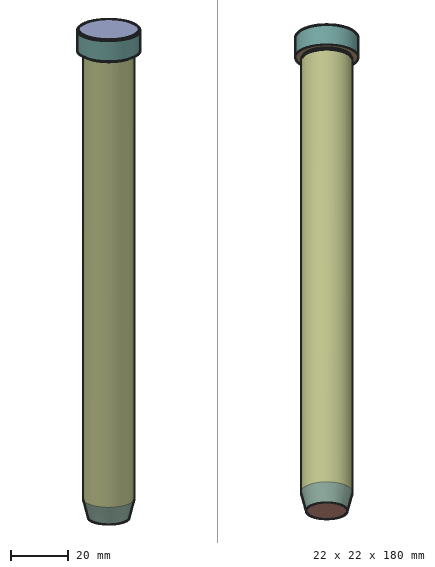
import cadquery as cq

total_length = 180.0
head_diameter = 22.0
head_height = 8.0
head_chamfer = 0.5
shank_diameter = 18.0
neck_diameter = 17.0
neck_height = 0.5
neck_taper_height = 0.5
tip_diameter = 14.4
tip_height = 7.0

head_radius = head_diameter / 2
shank_radius = shank_diameter / 2
neck_radius = neck_diameter / 2
tip_radius = tip_diameter / 2

top_z = total_length / 2
bottom_z = -total_length / 2
head_bottom_z = top_z - head_height
neck_bottom_z = head_bottom_z - neck_height
shank_top_z = neck_bottom_z - neck_taper_height
shank_bottom_z = bottom_z + tip_height

half_section = (
    cq.Workplane("XZ")
    .moveTo(0, bottom_z)
    .lineTo(tip_radius, bottom_z)
    .lineTo(shank_radius, shank_bottom_z)
    .lineTo(shank_radius, shank_top_z)
    .lineTo(neck_radius, neck_bottom_z)
    .lineTo(neck_radius, head_bottom_z)
    .lineTo(head_radius, head_bottom_z)
    .lineTo(head_radius, top_z - head_chamfer)
    .lineTo(head_radius - head_chamfer, top_z)
    .lineTo(0, top_z)
    .close()
)

result = half_section.revolve(360, (0, 0, 0), (0, 1, 0))